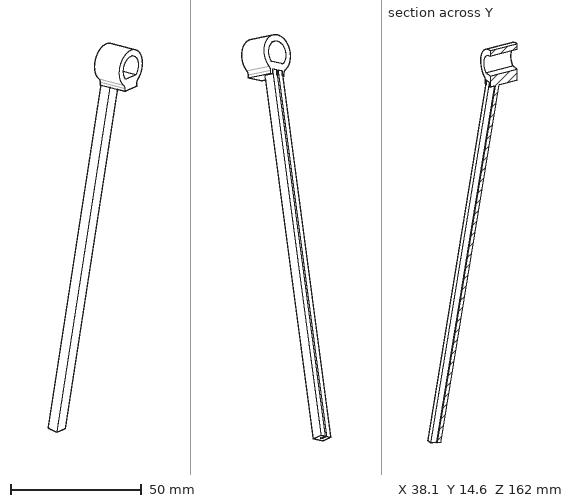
import cadquery as cq
import math

height = 162.0
length_x = 38.1

ring_diameter = 14.6
ring_width = 12.0
bore_diameter = 9.5
bore_flat_drop = 3.5
ring_front = length_x - ring_width
ring_axis_z = height - ring_diameter / 2

pad_width = 7.5
pad_bottom = 146.3
pad_fillet = 1.86

arm_angle = 10.0
arm_width = 5.3
arm_thickness = 4.4
arm_top = 148.3
slot_width = 0.8
slot_depth = 2.6


def box_between(x_start, x_end, width, z_start, z_end):
    """Block centred on Y = 0."""
    block = cq.Workplane("XY").box(x_end - x_start, width, z_end - z_start, centered=(False, True, False))
    return block.translate((x_start, 0, z_start))


def cylinder_x(diameter):
    """Cylinder on the ring axis, spanning the ring width."""
    disc = cq.Workplane("YZ", origin=(ring_front, 0, ring_axis_z)).circle(diameter / 2)
    return disc.extrude(ring_width)


def make_ring():
    """Ring with a flat-bottomed bore and a pad beneath it."""
    bore_floor = ring_axis_z - bore_flat_drop
    pad = box_between(ring_front, length_x, pad_width, pad_bottom, bore_floor)
    bore = cylinder_x(bore_diameter).intersect(
        box_between(ring_front, length_x, ring_diameter, bore_floor, height)
    )
    body = cylinder_x(ring_diameter).union(pad)
    junction_z = ring_axis_z - math.sqrt((ring_diameter / 2) ** 2 - (pad_width / 2) ** 2)
    ring_middle = ring_front + ring_width / 2
    for side in (-1, 1):
        junction = (ring_middle, side * pad_width / 2, junction_z)
        body = body.edges(cq.selectors.NearestToPointSelector(junction)).fillet(pad_fillet)
    return body.cut(bore)


def arm_profile(start_depth, end_depth, width):
    """Tilted bar between two depths behind the arm's front face."""
    tilt = math.radians(arm_angle)
    along = (math.sin(tilt), math.cos(tilt))
    across = (math.cos(tilt), -math.sin(tilt))
    bottom_corner_z = arm_thickness * math.sin(tilt)
    arm_length = (arm_top - bottom_corner_z) / math.cos(tilt)

    def point(depth, distance):
        return (
            depth * across[0] + distance * along[0],
            bottom_corner_z + depth * across[1] + distance * along[1],
        )

    corners = [
        point(start_depth, 0),
        point(end_depth, 0),
        point(end_depth, arm_length),
        point(start_depth, arm_length),
    ]
    return cq.Workplane("XZ").polyline(corners).close().extrude(width / 2, both=True)


def make_arm():
    """Tilted bar with a narrow slot along its front face."""
    return arm_profile(0, arm_thickness, arm_width).cut(arm_profile(0, slot_depth, slot_width))


result = make_ring().union(make_arm())